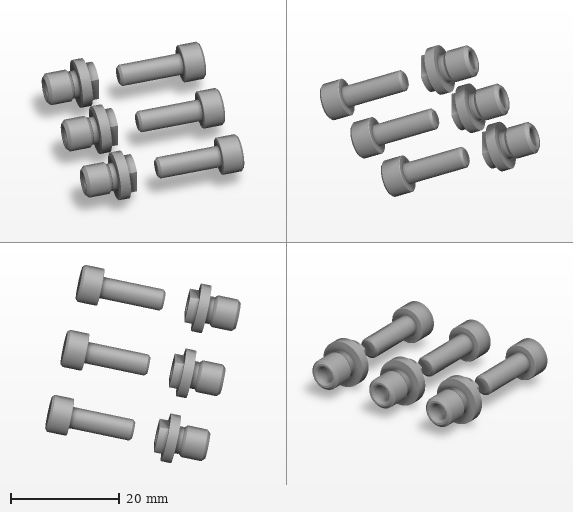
import cadquery as cq

pair_count = 3
total_width = 35.0
sleeve_screw_gap = 4.4

head_diameter = 7.0
head_length = 4.02
head_rim_chamfer = 0.42
head_seat_chamfer = 0.1
shank_diameter = 4.0
shank_length = 11.97
tip_chamfer = 0.45
neck_length = 0.52
neck_flare = 0.052

flange_diameter = 9.0
flange_thickness = 1.9
boss_diameter = head_diameter
boss_length = 1.7
boss_across_flats = 5.0
barrel_diameter = 6.0
barrel_length = 6.0
barrel_chamfer = 0.6
groove_diameter = 5.1
groove_width = 1.0
groove_fillet = 0.2
bore_diameter = 3.25
countersink_diameter = 4.0

pair_pitch = (total_width - flange_diameter) / (pair_count - 1)
sleeve_length = barrel_length + flange_thickness + boss_length
total_depth = sleeve_length + sleeve_screw_gap + shank_length + head_length
sleeve_front = -total_depth / 2
screw_tip = sleeve_front + sleeve_length + sleeve_screw_gap


def revolve_about_y(half_profile):
    """Turn a closed (radius, y) half profile in the XY plane around the Y axis."""
    return half_profile.close().revolve(360, (0, 0, 0), (0, 1, 0))


def make_screw():
    """Cylinder-head screw with its tip at y = 0 and its head toward +Y."""
    shank_radius = shank_diameter / 2
    head_radius = head_diameter / 2
    head_top = shank_length + head_length
    return revolve_about_y(
        cq.Workplane("XY")
        .moveTo(0, 0)
        .lineTo(shank_radius - tip_chamfer, 0)
        .lineTo(shank_radius, tip_chamfer)
        .lineTo(shank_radius, shank_length - neck_length)
        .lineTo(shank_radius + neck_flare, shank_length)
        .lineTo(head_radius - head_seat_chamfer, shank_length)
        .lineTo(head_radius, shank_length + head_seat_chamfer)
        .lineTo(head_radius, head_top - head_rim_chamfer)
        .lineTo(head_radius - head_rim_chamfer, head_top)
        .lineTo(0, head_top)
    )


def make_barrel_and_flange():
    """Solid barrel, end at y = 0, with a groove before the flange.

    The barrel's back chamfer runs slightly below the groove floor, leaving a small step.
    """
    barrel_radius = barrel_diameter / 2
    groove_radius = groove_diameter / 2
    flange_radius = flange_diameter / 2
    chamfer_foot_radius = barrel_radius - barrel_chamfer
    barrel_back = barrel_length - groove_width
    flange_back = barrel_length + flange_thickness
    return revolve_about_y(
        cq.Workplane("XY")
        .moveTo(0, 0)
        .lineTo(chamfer_foot_radius, 0)
        .lineTo(barrel_radius, barrel_chamfer)
        .lineTo(barrel_radius, barrel_back - barrel_chamfer)
        .lineTo(chamfer_foot_radius, barrel_back)
        .lineTo(groove_radius, barrel_back)
        .lineTo(groove_radius, barrel_length - groove_fillet)
        .radiusArc((groove_radius + groove_fillet, barrel_length), groove_fillet)
        .lineTo(flange_radius, barrel_length)
        .lineTo(flange_radius, flange_back)
        .lineTo(0, flange_back)
    )


def make_boss():
    """Round boss with two flats facing -X and +X, standing on the back of the flange."""
    flange_back = barrel_length + flange_thickness
    round_boss = (
        cq.Workplane("XZ", origin=(0, flange_back, 0))
        .circle(boss_diameter / 2)
        .extrude(-boss_length)
    )
    flats = (
        cq.Workplane("XZ", origin=(0, flange_back, 0))
        .rect(boss_across_flats, boss_diameter)
        .extrude(-boss_length)
    )
    return round_boss.intersect(flats)


def make_bore():
    """Cutter for the through bore with a 45 degree countersink at the barrel end."""
    bore_radius = bore_diameter / 2
    countersink_radius = countersink_diameter / 2
    return revolve_about_y(
        cq.Workplane("XY")
        .moveTo(0, 0)
        .lineTo(countersink_radius, 0)
        .lineTo(bore_radius, countersink_radius - bore_radius)
        .lineTo(bore_radius, sleeve_length)
        .lineTo(0, sleeve_length)
    )


def make_sleeve():
    """Flanged sleeve with its barrel end at y = 0 and its boss toward +Y."""
    return make_barrel_and_flange().union(make_boss()).cut(make_bore())


screws = []
sleeves = []
for index in range(pair_count):
    axis_x = (index - (pair_count - 1) / 2) * pair_pitch
    screws.append(make_screw().translate((axis_x, screw_tip, 0)).val())
    sleeves.append(make_sleeve().translate((axis_x, sleeve_front, 0)).val())

result = cq.Compound.makeCompound([*screws, *sleeves])